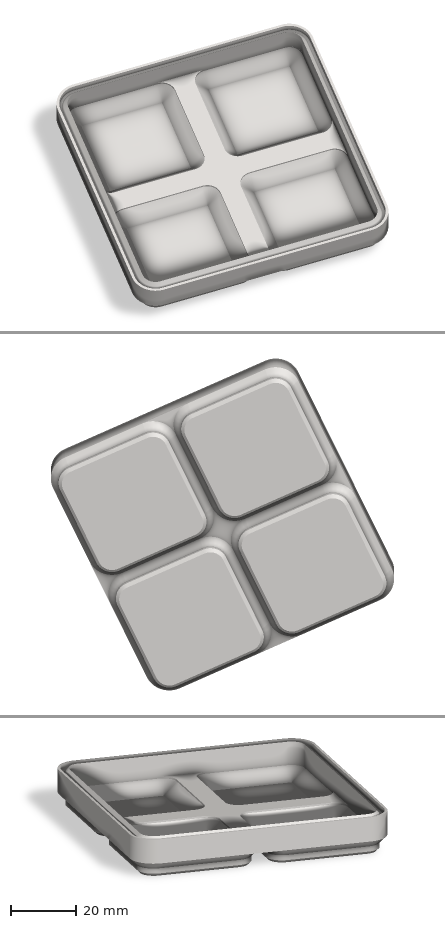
import cadquery as cq

side = 83.0
height = 12.8
corner_radius = 7.6

cell_pitch = side / 2
cell_clearance = 0.04
cell_size = cell_pitch - 2 * cell_clearance
cell_wall = 3.3

foot_chamfer = 1.0
foot_straight = 1.7
foot_flare = 2.3
foot_height = foot_chamfer + foot_straight + foot_flare

base_thickness = 1.0
pocket_step = 0.6
pocket_corner_radius = 0.1
pocket_slope = corner_radius - pocket_corner_radius - cell_wall
slope_top = base_thickness + pocket_slope
tray_floor = slope_top + pocket_step

tray_wall = cell_clearance + cell_wall
lip_thickness = 0.8
groove_floor_width = 0.8
groove_depth = 2.0
groove_floor = height - groove_depth


def rounded_prism(outer_size, inset, bottom, length, taper=0):
    """Upright square prism lying an inset inside the outer square; its corners stay concentric."""
    size = outer_size - 2 * inset
    outline = cq.Sketch().rect(size, size).vertices().fillet(corner_radius - inset)
    return cq.Workplane("XY", origin=(0, 0, bottom)).placeSketch(outline).extrude(length, taper=taper)


def make_foot():
    """One foot: chamfered base, straight band and 45 degree flare up to the body."""
    base = rounded_prism(cell_size, foot_flare + foot_chamfer, 0, foot_chamfer, taper=-45)
    band = rounded_prism(cell_size, foot_flare, foot_chamfer, foot_straight)
    flare = rounded_prism(cell_size, foot_flare, foot_chamfer + foot_straight, foot_flare, taper=-45)
    return base.union(band).union(flare)


def make_pocket():
    """One compartment: 45 degree walls around a nearly sharp floor, then a short upright step."""
    slope = rounded_prism(cell_size, cell_wall + pocket_slope, base_thickness, pocket_slope, taper=-45)
    step = rounded_prism(cell_size, cell_wall, slope_top, pocket_step)
    return slope.union(step)


def make_groove():
    """Rim groove: upright outer side, flat floor and an inner side sloping up to the ridge."""
    recess = rounded_prism(side, lip_thickness, groove_floor, groove_depth)
    ridge_base = rounded_prism(side, lip_thickness + groove_floor_width, groove_floor, groove_depth)
    ridge_crest = rounded_prism(side, tray_wall, groove_floor, groove_depth)
    ridge_outlines = [
        ridge_base.faces("<Z").wires().val(),
        ridge_crest.faces(">Z").wires().val(),
    ]
    ridge = cq.Solid.makeLoft(ridge_outlines, True)
    return recess.cut(cq.Workplane(ridge))


cell_centres = [(x * cell_pitch / 2, y * cell_pitch / 2, 0) for x in (-1, 1) for y in (-1, 1)]

body = rounded_prism(side, 0, foot_height, height - foot_height)
cavity = rounded_prism(side, tray_wall, tray_floor, height - tray_floor)
for centre in cell_centres:
    body = body.union(make_foot().translate(centre))
    cavity = cavity.union(make_pocket().translate(centre))

result = body.cut(make_groove()).cut(cavity)